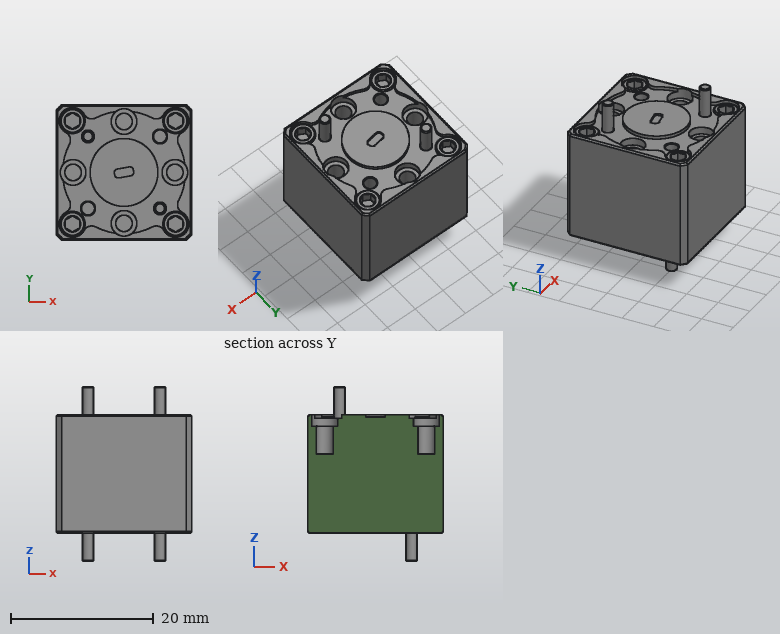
import cadquery as cq
import math

BLOCK_WIDTH = 19.05
BLOCK_HEIGHT = 16.64
OVERALL_HEIGHT = 24.49
CORNER_CHAMFER = 0.8
EDGE_CHAMFER = 0.25
TOP_Z = BLOCK_HEIGHT / 2
BOTTOM_Z = -TOP_Z

RECESS_DEPTH = 0.5
RECESS_RADIUS = 8.62
LOBE_RADIUS = 1.87
RECESS_BLEND_RADIUS = 1.2
BOSS_DIAMETER = 9.525
BOSS_RADIUS = BOSS_DIAMETER / 2
FLOOR_Z = TOP_Z - RECESS_DEPTH

WAVEGUIDE_LENGTH = 2.7
WAVEGUIDE_WIDTH = 1.27
WAVEGUIDE_CORNER_RADIUS = 0.5
WAVEGUIDE_ANGLE = 10.0
WAVEGUIDE_DEPTH = 0.3

SCREW_OFFSET = 7.23
SCREW_HEAD_RADIUS = 1.78
SCREW_HEAD_RISE = 0.2
SCREW_HEAD_CHAMFER = 0.18
HEX_ACROSS_FLATS = 1.98
HEX_DEPTH = 1.5
HEX_LEAD_IN_DEPTH = 0.1

BOLT_CIRCLE_DIAMETER = 14.29
BOLT_CIRCLE_RADIUS = BOLT_CIRCLE_DIAMETER / 2
FLANGE_HOLE_RADIUS = 1.16
COUNTERBORE_RADIUS = 1.8
COUNTERBORE_DEPTH = 1.1
FLANGE_HOLE_DEPTH = 5.0

DOWEL_OFFSET = BOLT_CIRCLE_RADIUS / math.sqrt(2)
PIN_RADIUS = 0.8
PIN_TIP_Z = OVERALL_HEIGHT / 2
PIN_TIP_CHAMFER = 0.16
PIN_SEAT_CHAMFER = 0.09
DOWEL_HOLE_RADIUS = 0.92
DOWEL_HOLE_CHAMFER = 0.12
DOWEL_HOLE_DEPTH = 4.0

SCREW_POINTS = [(x, y) for x in (-SCREW_OFFSET, SCREW_OFFSET) for y in (-SCREW_OFFSET, SCREW_OFFSET)]
FLANGE_HOLE_POINTS = [
    (BOLT_CIRCLE_RADIUS, 0),
    (0, BOLT_CIRCLE_RADIUS),
    (-BOLT_CIRCLE_RADIUS, 0),
    (0, -BOLT_CIRCLE_RADIUS),
]
TOP_PIN_POINTS = [(-DOWEL_OFFSET, DOWEL_OFFSET), (DOWEL_OFFSET, -DOWEL_OFFSET)]
BOTTOM_PIN_POINTS = [(-DOWEL_OFFSET, -DOWEL_OFFSET), (DOWEL_OFFSET, DOWEL_OFFSET)]


def level(z):
    """Horizontal workplane at height z."""
    return cq.Workplane("XY", origin=(0, 0, z))


def cylinders(points, radius, z_start, z_end):
    """Vertical cylinders at the given points, between two heights."""
    return level(z_start).pushPoints(points).circle(radius).extrude(z_end - z_start)


def cones_down(points, top_radius, z_top, depth, bottom_radius):
    """Countersink cones narrowing downward from z_top."""
    cone = cq.Solid.makeCone(bottom_radius, top_radius, depth)
    return level(z_top - depth).pushPoints(points).eachpoint(lambda place: cone.moved(place), combine=True)


def make_block():
    """Square block with bevelled upright corners and bevelled top and bottom edges."""
    block = cq.Workplane("XY").box(BLOCK_WIDTH, BLOCK_WIDTH, BLOCK_HEIGHT)
    block = block.edges("|Z").chamfer(CORNER_CHAMFER)
    return block.faces("<Z or >Z").edges().chamfer(EDGE_CHAMFER)


def make_recess():
    """Cut volume: a disc blended into a lobe around each screw, minus the central boss."""
    disc = level(FLOOR_Z).circle(RECESS_RADIUS).extrude(RECESS_DEPTH)
    recess = disc.union(cylinders(SCREW_POINTS, LOBE_RADIUS, FLOOR_Z, TOP_Z))
    recess = recess.edges("|Z").fillet(RECESS_BLEND_RADIUS)
    return recess.cut(level(FLOOR_Z).circle(BOSS_RADIUS).extrude(RECESS_DEPTH))


def make_waveguide():
    """Cut volume: the rounded rectangular opening, turned about the block axis."""
    opening = level(TOP_Z).rect(WAVEGUIDE_LENGTH, WAVEGUIDE_WIDTH).extrude(-WAVEGUIDE_DEPTH)
    opening = opening.edges("|Z").fillet(WAVEGUIDE_CORNER_RADIUS)
    return opening.rotate((0, 0, 0), (0, 0, 1), WAVEGUIDE_ANGLE)


def make_flange_holes():
    """Cut volume: counterbored blind holes on the bolt circle."""
    holes = cylinders(FLANGE_HOLE_POINTS, FLANGE_HOLE_RADIUS, FLOOR_Z - FLANGE_HOLE_DEPTH, TOP_Z)
    counterbores = cylinders(FLANGE_HOLE_POINTS, COUNTERBORE_RADIUS, FLOOR_Z - COUNTERBORE_DEPTH, TOP_Z)
    return holes.union(counterbores)


def make_dowel_holes():
    """Cut volume: blind holes with a countersunk mouth, opposite the bottom pins."""
    holes = cylinders(BOTTOM_PIN_POINTS, DOWEL_HOLE_RADIUS, FLOOR_Z - DOWEL_HOLE_DEPTH, FLOOR_Z)
    mouth_radius = DOWEL_HOLE_RADIUS + DOWEL_HOLE_CHAMFER
    return holes.union(
        cones_down(BOTTOM_PIN_POINTS, mouth_radius, FLOOR_Z, DOWEL_HOLE_CHAMFER, DOWEL_HOLE_RADIUS)
    )


def make_pin_seats():
    """Cut volume: countersinks around the feet of the top pins."""
    return cones_down(TOP_PIN_POINTS, PIN_RADIUS + PIN_SEAT_CHAMFER, FLOOR_Z, PIN_SEAT_CHAMFER, PIN_RADIUS)


def make_screw_heads():
    """Screw heads standing proud of the recess floor."""
    heads = cylinders(SCREW_POINTS, SCREW_HEAD_RADIUS, FLOOR_Z - SCREW_HEAD_RISE, FLOOR_Z + SCREW_HEAD_RISE)
    return heads.faces(">Z").edges().chamfer(SCREW_HEAD_CHAMFER)


def make_hex_sockets():
    """Cut volume: hexagon sockets, corners along Y, with a conical lead-in."""
    head_top_z = FLOOR_Z + SCREW_HEAD_RISE
    corner_diameter = HEX_ACROSS_FLATS / math.cos(math.pi / 6)
    socket = cq.Workplane("XY").polygon(6, corner_diameter).extrude(-HEX_DEPTH)
    socket = socket.rotate((0, 0, 0), (0, 0, 1), 90).val()
    sockets = level(head_top_z).pushPoints(SCREW_POINTS).eachpoint(lambda place: socket.moved(place))
    lead_ins = cones_down(
        SCREW_POINTS, corner_diameter / 2, head_top_z, HEX_LEAD_IN_DEPTH, HEX_ACROSS_FLATS / 2
    )
    return sockets.union(lead_ins)


def make_pins():
    """Dowel pins: one diagonal pair above the block, the other pair below."""
    top_pins = cylinders(TOP_PIN_POINTS, PIN_RADIUS, FLOOR_Z - PIN_SEAT_CHAMFER, PIN_TIP_Z)
    top_pins = top_pins.faces(">Z").edges().chamfer(PIN_TIP_CHAMFER)
    bottom_pins = cylinders(BOTTOM_PIN_POINTS, PIN_RADIUS, BOTTOM_Z, -PIN_TIP_Z)
    bottom_pins = bottom_pins.faces("<Z").edges().chamfer(PIN_TIP_CHAMFER)
    return top_pins.union(bottom_pins)


result = make_block()
for cut_volume in (make_recess(), make_waveguide(), make_flange_holes(), make_dowel_holes(), make_pin_seats()):
    result = result.cut(cut_volume)
result = result.union(make_screw_heads())
result = result.cut(make_hex_sockets())
result = result.union(make_pins())